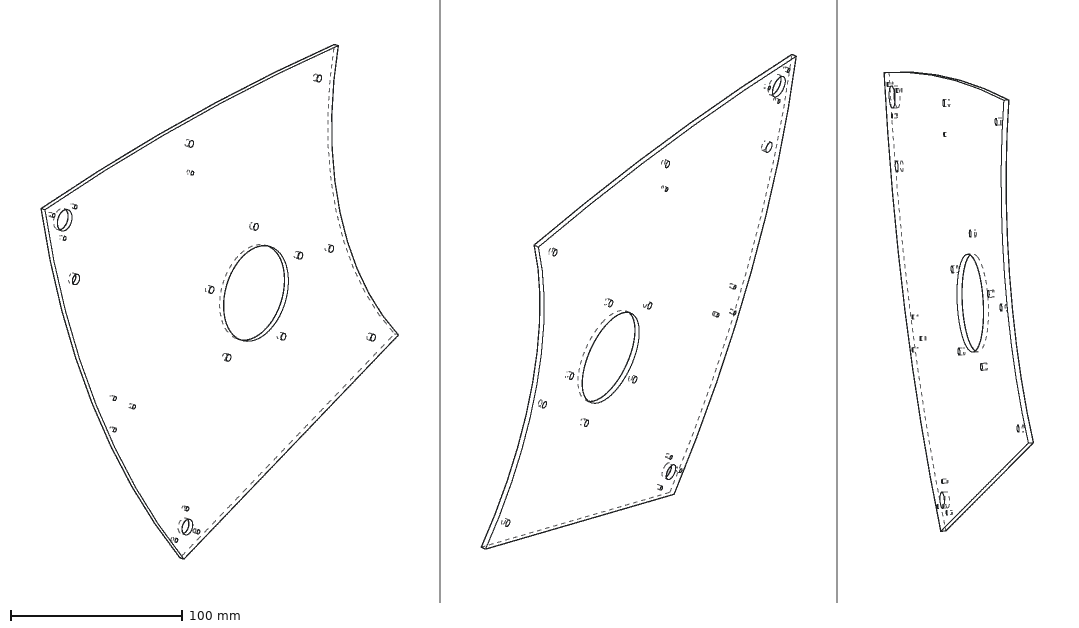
import cadquery as cq
import math

thickness = 3.0

inner_top = (73.0, 134.3)
outer_top = (-187.0, 102.5)
outer_bottom = (-64.0, -147.7)
inner_bottom = (126.0, -59.8)

top_edge_radius = 1640.0
outer_edge_radius = 542.0
inner_edge_radius = 207.2

opening_diameter = 57.3
bolt_circle_radius = 41.3
bolt_count = 5
bolt_diameter = 4.0

edge_bolt_centers = [(56.0, 118.3), (-57.3, 108.3), (66.7, 9.7), (103.5, -55.5)]
locating_hole_center = (-159.3, 51.5)
locating_hole_diameter = 6.3

screw_diameter = 2.38
screw_circle_radius = 11.3
screw_count = 3
upper_mount_center = (-169.3, 91.0)
upper_mount_diameter = 12.8
lower_mount_center = (-60.7, -128.5)
lower_mount_diameter = 9.5
side_mount_center = (-119.2, -41.3)
single_screw_center = (-56.3, 89.8)


def arc_midpoint(start, end, radius):
    """Middle of the minor arc that bulges to the left of the line from start to end."""
    dy = end[0] - start[0]
    dz = end[1] - start[1]
    chord = math.hypot(dy, dz)
    rise = radius - math.sqrt(radius**2 - (chord / 2) ** 2)
    mid_y = (start[0] + end[0]) / 2
    mid_z = (start[1] + end[1]) / 2
    return (mid_y - rise * dz / chord, mid_z + rise * dy / chord)


def hole_circle(center, radius, count, first_angle):
    """Evenly spaced points on a circle; angles run from +Y towards +Z."""
    angles = [math.radians(first_angle + i * 360 / count) for i in range(count)]
    return [(center[0] + radius * math.cos(a), center[1] + radius * math.sin(a)) for a in angles]


def drill(plate, centers, diameter):
    """Cut through holes along X."""
    pins = (
        cq.Workplane("YZ")
        .pushPoints(centers)
        .circle(diameter / 2)
        .extrude(thickness, both=True)
    )
    return plate.cut(pins)


def make_plate():
    """Plate with a straight bottom edge, convex top and outer edges and a concave inner edge."""
    return (
        cq.Workplane("YZ")
        .moveTo(*inner_top)
        .threePointArc(arc_midpoint(outer_top, inner_top, top_edge_radius), outer_top)
        .threePointArc(arc_midpoint(outer_bottom, outer_top, outer_edge_radius), outer_bottom)
        .lineTo(*inner_bottom)
        .threePointArc(arc_midpoint(inner_bottom, inner_top, inner_edge_radius), inner_top)
        .close()
        .extrude(thickness / 2, both=True)
    )


bolt_centers = hole_circle((0, 0), bolt_circle_radius, bolt_count, 90) + edge_bolt_centers

screw_centers = [single_screw_center]
for mount_center, first_angle in [
    (upper_mount_center, -90),
    (lower_mount_center, 90),
    (side_mount_center, 0),
]:
    screw_centers += hole_circle(mount_center, screw_circle_radius, screw_count, first_angle)

result = make_plate()
result = drill(result, [(0, 0)], opening_diameter)
result = drill(result, bolt_centers, bolt_diameter)
result = drill(result, [locating_hole_center], locating_hole_diameter)
result = drill(result, [upper_mount_center], upper_mount_diameter)
result = drill(result, [lower_mount_center], lower_mount_diameter)
result = drill(result, screw_centers, screw_diameter)